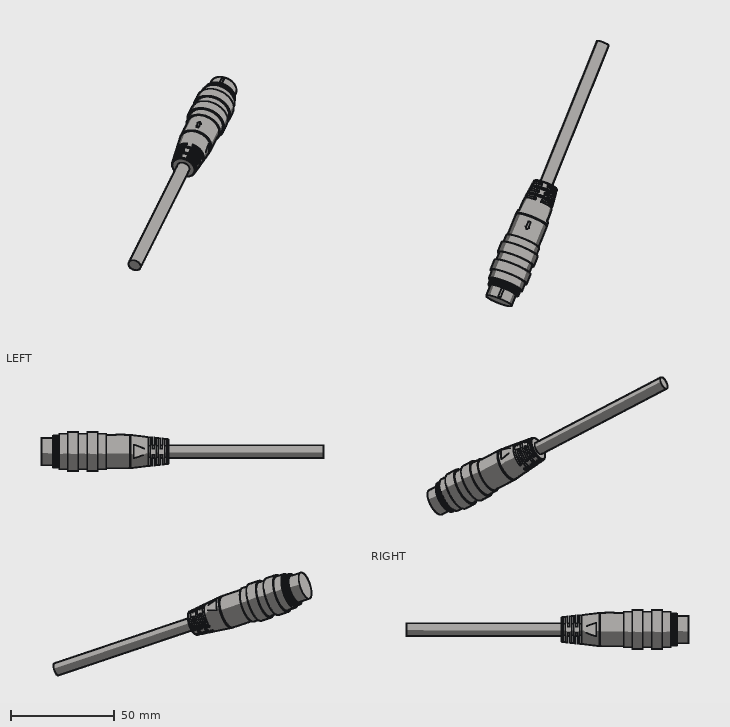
import cadquery as cq

total_length = 136.8

nose_diameter = 13.4
nose_length = 5.5
keyway_width = 1.2
keyway_depth = 0.4
keyway_inset = 0.8

thread_diameter = 15.9
thread_pitch = 0.75
thread_depth = 0.47
thread_ridge_count = 4
thread_length = 3.1

sleeve_diameter = 17.4
sleeve_length = 22.8
band_count = 2
band_diameter = 19.0
band_length = 5.2
first_band_offset = 4.1
band_spacing = 9.5

grip_diameter = 16.3
grip_length = 11.4
ring_groove_width = 0.4
ring_groove_depth = 0.4

tail_end_diameter = 12.0
tail_end_chamfer = 0.4
width_across_flats = 14.5
flat_start = 1.5
flat_length = 7.0
slot_width = 1.0
slot_count = 5
web_width = 2.9

cable_diameter = 6.3

arrow_height = 0.3
arrow_length = 4.1
arrow_head_length = 1.2
arrow_head_width = 2.0
arrow_shaft_width = 1.2
arrow_tip_offset = 4.8

nose_radius = nose_diameter / 2
thread_radius = thread_diameter / 2
sleeve_radius = sleeve_diameter / 2
band_radius = band_diameter / 2
grip_radius = grip_diameter / 2
tail_end_radius = tail_end_diameter / 2
cable_radius = cable_diameter / 2

beyond_part = 2 * band_diameter

thread_front = total_length - nose_length
sleeve_front = thread_front - thread_length
sleeve_back = sleeve_front - sleeve_length
ring_groove_front = sleeve_back - grip_length
tail_front = ring_groove_front - ring_groove_width
flat_front = tail_front - flat_start
relief_length = 2 * slot_count * slot_width
relief_front = flat_front - flat_length
tail_back = relief_front - relief_length


def cylinder(radius, front, length):
    """Solid cylinder on the Y axis, reaching back from the station `front`."""
    return cq.Workplane("XZ", origin=(0, front, 0)).circle(radius).extrude(length)


def ring(outer_radius, inner_radius, front, length):
    return cylinder(outer_radius, front, length).cut(cylinder(inner_radius, front, length))


def block(size_x, size_z, front, length):
    """Rectangular bar centred on the Y axis, reaching back from the station `front`."""
    return cq.Workplane("XZ", origin=(0, front, 0)).rect(size_x, size_z).extrude(length)


def make_nose():
    nose = cylinder(nose_radius, total_length, nose_length)
    keyway = block(
        keyway_width, 2 * keyway_depth, total_length - keyway_inset, nose_length - keyway_inset
    ).translate((0, 0, nose_radius))
    return nose.cut(keyway)


def make_thread():
    root_radius = thread_radius - thread_depth
    profile = [(0, thread_front), (root_radius, thread_front)]
    for ridge in range(thread_ridge_count):
        ridge_front = thread_front - ridge * thread_pitch
        profile.append((thread_radius, ridge_front - thread_pitch / 2))
        profile.append((root_radius, ridge_front - thread_pitch))
    profile += [(root_radius, sleeve_front), (0, sleeve_front)]
    return cq.Workplane("XY").polyline(profile).close().revolve(360, (0, 0, 0), (0, 1, 0))


def make_sleeve():
    sleeve = cylinder(sleeve_radius, sleeve_front, sleeve_length)
    for index in range(band_count):
        band_front = sleeve_front - first_band_offset - index * band_spacing
        sleeve = sleeve.union(cylinder(band_radius, band_front, band_length))
    return sleeve


def make_grip():
    grip = cylinder(grip_radius, sleeve_back, grip_length)
    groove_floor = cylinder(grip_radius - ring_groove_depth, ring_groove_front, ring_groove_width)
    return grip.union(groove_floor)


def make_arrow():
    tip = sleeve_back - arrow_tip_offset
    head_back = tip - arrow_head_length
    shaft_back = tip - arrow_length
    right_side = [
        (arrow_head_width / 2, head_back),
        (arrow_shaft_width / 2, head_back),
        (arrow_shaft_width / 2, shaft_back),
    ]
    left_side = [(-x, y) for x, y in reversed(right_side)]
    outline = [(0, tip)] + right_side + left_side
    prism = cq.Workplane("XY").polyline(outline).close().extrude(beyond_part)
    return prism.intersect(cylinder(grip_radius + arrow_height, tip, arrow_length))


def make_tail():
    profile = [(0, tail_front), (grip_radius, tail_front), (tail_end_radius, tail_back), (0, tail_back)]
    tail = cq.Workplane("XY").polyline(profile).close().revolve(360, (0, 0, 0), (0, 1, 0))
    tail = tail.faces("<Y").chamfer(tail_end_chamfer)

    side_stock = block(beyond_part, beyond_part, flat_front, flat_length)
    between_flats = block(width_across_flats, beyond_part, flat_front, flat_length)
    tail = tail.cut(side_stock.cut(between_flats))

    for index in range(slot_count):
        slot_front = relief_front - 2 * index * slot_width
        slot = ring(beyond_part, cable_radius, slot_front, slot_width)
        web_sizes = (web_width, beyond_part) if index % 2 == 0 else (beyond_part, web_width)
        tail = tail.cut(slot.cut(block(*web_sizes, slot_front, slot_width)))
    return tail


result = cylinder(cable_radius, tail_back, tail_back)
for section in (make_tail(), make_grip(), make_arrow(), make_sleeve(), make_thread(), make_nose()):
    result = result.union(section)